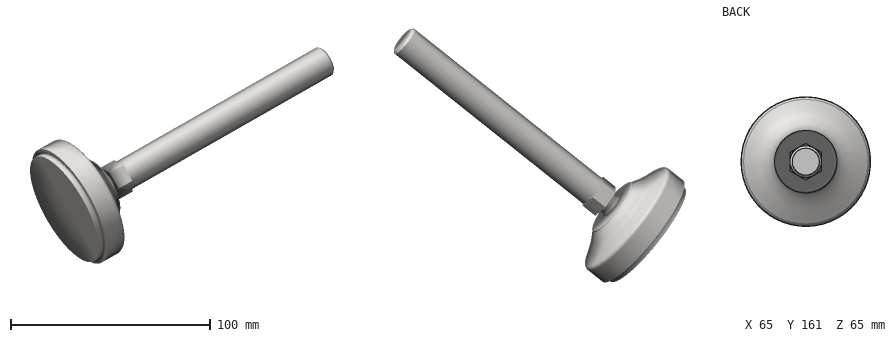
import cadquery as cq

total_length = 161.0

pad_diameter = 60.0
pad_height = 3.0
foot_diameter = 65.0
rim_top = 12.7
shoulder_top = 14.7
shoulder_diameter = 62.5
slope_sag = 0.56
slope_top = 22.9
slope_top_diameter = 31.4
foot_top = 23.5
foot_top_diameter = 30.3
top_edge_bulge = 0.2

neck_diameter = 11.0
flare_diameter = 12.5
flare_top = 25.0

hex_across_flats = 16.0
hex_bottom = 27.7
hex_height = 8.4
stud_diameter = 16.0
stud_chamfer = 1.2

hex_top = hex_bottom + hex_height


def section_at(y):
    """Work plane across the axis, facing +Y."""
    return cq.Workplane(cq.Plane(origin=(0, y, 0), xDir=(1, 0, 0), normal=(0, 1, 0)))


def cylinder(diameter, start, end):
    return section_at(start).circle(diameter / 2).extrude(end - start)


def make_foot():
    """Pad and rim, with a rounded shoulder, a slightly hollow slope and a rounded top edge."""
    return (
        cq.Workplane("XY")
        .lineTo(pad_diameter / 2, 0)
        .lineTo(pad_diameter / 2, pad_height)
        .lineTo(foot_diameter / 2, pad_height)
        .lineTo(foot_diameter / 2, rim_top)
        .tangentArcPoint((shoulder_diameter / 2, shoulder_top), relative=False)
        .sagittaArc((slope_top_diameter / 2, slope_top), slope_sag)
        .sagittaArc((foot_top_diameter / 2, foot_top), -top_edge_bulge)
        .lineTo(0, foot_top)
        .close()
        .revolve(360, (0, 0, 0), (0, 1, 0))
    )


def make_neck():
    flare = (
        section_at(foot_top)
        .circle(flare_diameter / 2)
        .workplane(offset=flare_top - foot_top)
        .circle(neck_diameter / 2)
        .loft(ruled=True)
    )
    return flare.union(cylinder(neck_diameter, flare_top, hex_bottom))


def make_hexagon():
    """Hexagon with its flats facing -X and +X and its corners at -Z and +Z."""
    return (
        section_at(hex_bottom)
        .polygon(6, hex_across_flats, circumscribed=True)
        .extrude(hex_height)
    )


def make_stud():
    stud = cylinder(stud_diameter, hex_top, total_length)
    return stud.faces(">Y").edges().chamfer(stud_chamfer)


result = make_foot().union(make_neck()).union(make_hexagon()).union(make_stud())